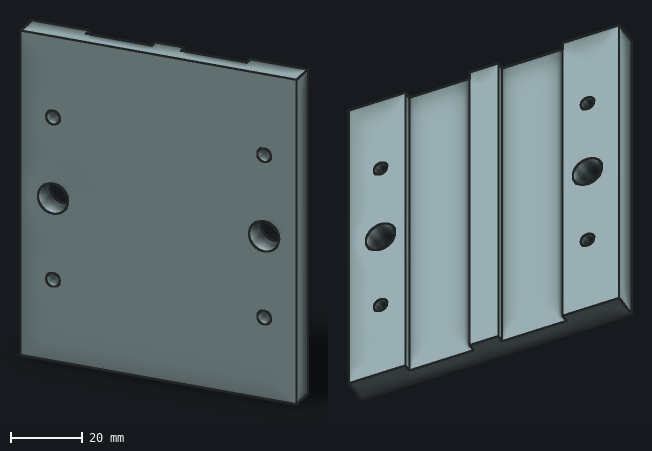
import cadquery as cq

width = 85.0
thickness = 8.0
height = 100.0

rib_width = 9.0
channel_width = 20.2
channel_depth = 2.5

hole_column_spacing = 65.0
small_hole_spacing = 50.0
small_hole_diameter = 4.2
large_hole_diameter = 9.2


def through_holes(points, diameter):
    """Cylinders along Y through the plate, at the given (x, z) points."""
    return (
        cq.Workplane("XZ", origin=(0, thickness / 2, 0))
        .pushPoints(points)
        .circle(diameter / 2)
        .extrude(thickness)
    )


plate = cq.Workplane("XY").box(width, thickness, height)

channel_offset = (rib_width + channel_width) / 2
channel_floor = thickness / 2 - channel_depth
channels = (
    cq.Workplane("XY")
    .pushPoints([(-channel_offset, channel_floor + channel_depth / 2),
                 (channel_offset, channel_floor + channel_depth / 2)])
    .rect(channel_width, channel_depth)
    .extrude(height / 2, both=True)
)

column_x = hole_column_spacing / 2
small_z = small_hole_spacing / 2
large_points = [(x, 0) for x in (-column_x, column_x)]
small_points = [(x, z) for x in (-column_x, column_x) for z in (-small_z, small_z)]

result = (
    plate.cut(channels)
    .cut(through_holes(large_points, large_hole_diameter))
    .cut(through_holes(small_points, small_hole_diameter))
)